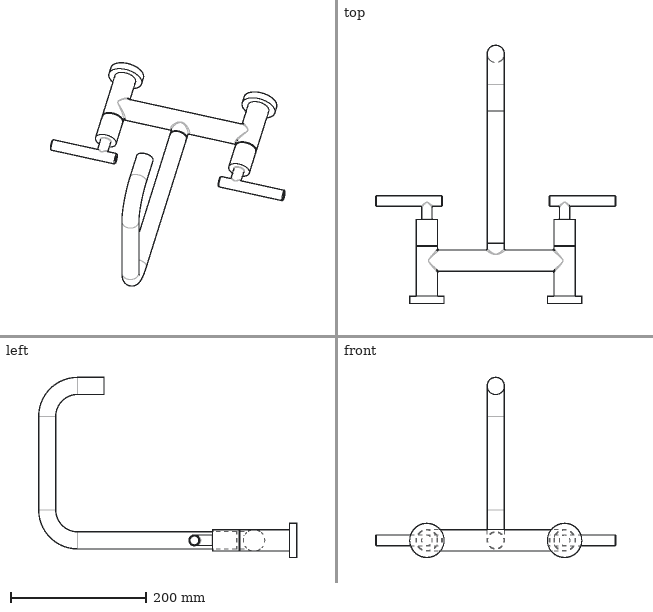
import cadquery as cq

base_y = 0.0
post_spacing = 203.5
flange_diameter = 50.7
flange_thickness = 11.0
post_diameter = 32.0
post_top_y = 85.0
bridge_y = 63.5
bridge_diameter = 31.5
weld_fillet = 2.0
joint_chamfer = 0.8

spout_diameter = 25.5
spout_start_y = 89.3
spout_far_y = 381.5
spout_end_y = 284.5
spout_rise = 228.0
bend_radius = 45.0

cap_top_y = 124.5
lever_diameter = 16.0
stem_diameter = 15.5
lever_axis_y = 151.5
lever_length = 99.0
overall_width = 355.0
lever_chamfer = 1.5
lever_fillet = 1.5
stem_root_fillet = 0.8


def rod_y(diameter, x, y_start, y_end):
    """Solid cylinder along +Y at Z = 0."""
    return cq.Workplane(
        cq.Solid.makeCylinder(diameter / 2, y_end - y_start, cq.Vector(x, y_start, 0), cq.Vector(0, 1, 0))
    )


def rod_x(diameter, y, x_start, x_end):
    """Solid cylinder along +X at Z = 0."""
    return cq.Workplane(
        cq.Solid.makeCylinder(diameter / 2, x_end - x_start, cq.Vector(x_start, y, 0), cq.Vector(1, 0, 0))
    )


def make_base():
    post_x = post_spacing / 2
    base = rod_x(bridge_diameter, bridge_y, -post_x, post_x)
    for x in (-post_x, post_x):
        base = base.union(rod_y(post_diameter, x, base_y, post_top_y).faces(">Y").chamfer(joint_chamfer))
        base = base.union(rod_y(flange_diameter, x, base_y, base_y + flange_thickness))
    stub = rod_y(spout_diameter, 0, bridge_y, spout_start_y).faces(">Y").chamfer(joint_chamfer)
    return base.union(stub).edges("%BSPLINE").fillet(weld_fillet)


def make_spout():
    axis_far_y = spout_far_y - spout_diameter / 2
    bend_y = axis_far_y - bend_radius
    path = (
        cq.Workplane("YZ")
        .moveTo(spout_start_y, 0)
        .lineTo(bend_y, 0)
        .tangentArcPoint((axis_far_y, bend_radius), relative=False)
        .lineTo(axis_far_y, spout_rise - bend_radius)
        .tangentArcPoint((bend_y, spout_rise), relative=False)
        .lineTo(spout_end_y, spout_rise)
    )
    start = cq.Plane(origin=(0, spout_start_y, 0), xDir=(1, 0, 0), normal=(0, 1, 0))
    return cq.Workplane(start).circle(spout_diameter / 2).sweep(path)


def make_handle(side):
    """Handle on the post at the given side (-1 or +1 in X)."""
    post_x = side * post_spacing / 2
    outer_x = side * overall_width / 2
    inner_x = outer_x - side * lever_length
    lever = rod_x(lever_diameter, lever_axis_y, min(inner_x, outer_x), max(inner_x, outer_x))
    lever = lever.faces("<X or >X").chamfer(lever_chamfer)
    stem = rod_y(stem_diameter, post_x, cap_top_y, lever_axis_y)
    grip = lever.union(stem).edges("%BSPLINE").fillet(lever_fillet)
    cap = rod_y(post_diameter, post_x, post_top_y, cap_top_y).faces("<Y").chamfer(joint_chamfer)
    handle = grip.union(cap)
    stem_root = handle.edges(
        cq.selectors.BoxSelector(
            (post_x - stem_diameter, cap_top_y - stem_root_fillet, -stem_diameter),
            (post_x + stem_diameter, cap_top_y + stem_root_fillet, stem_diameter),
        )
    ).edges(cq.selectors.RadiusNthSelector(0))
    return stem_root.fillet(stem_root_fillet)


base = make_base()
spout = make_spout()
handles = [make_handle(side) for side in (-1, 1)]

result = cq.Compound.makeCompound([base.val(), spout.val(), *[handle.val() for handle in handles]])